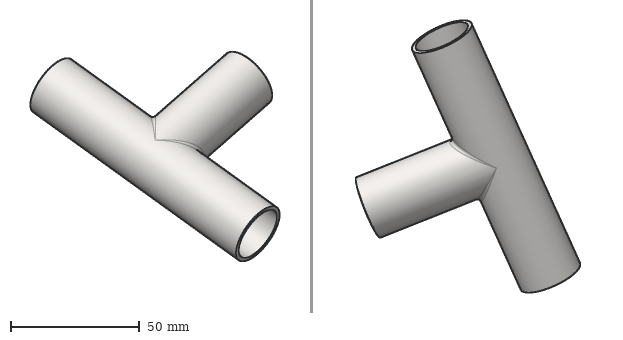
import cadquery as cq

run_length = 108.0
branch_length = run_length / 2
outer_diameter = 25.4
bore_diameter = 22.1
weld_radius = 1.6


def half_tee(diameter):
    """The +X half of a solid tee: half the run and half the branch."""
    half_run = cq.Workplane("YZ").circle(diameter / 2).extrude(run_length / 2)
    half_branch = (
        cq.Workplane("XZ")
        .moveTo(0, -diameter / 2)
        .threePointArc((diameter / 2, 0), (0, diameter / 2))
        .close()
        .extrude(-branch_length)
    )
    return half_run.union(half_branch)


half_outside = half_tee(outer_diameter)
seam_edges = [edge for edge in half_outside.edges().vals() if edge.geomType() == "ELLIPSE"]
blended_half = half_outside.newObject(seam_edges).fillet(weld_radius)

outside = blended_half.mirror("YZ", union=True)
bore = half_tee(bore_diameter).mirror("YZ", union=True)

result = outside.cut(bore)